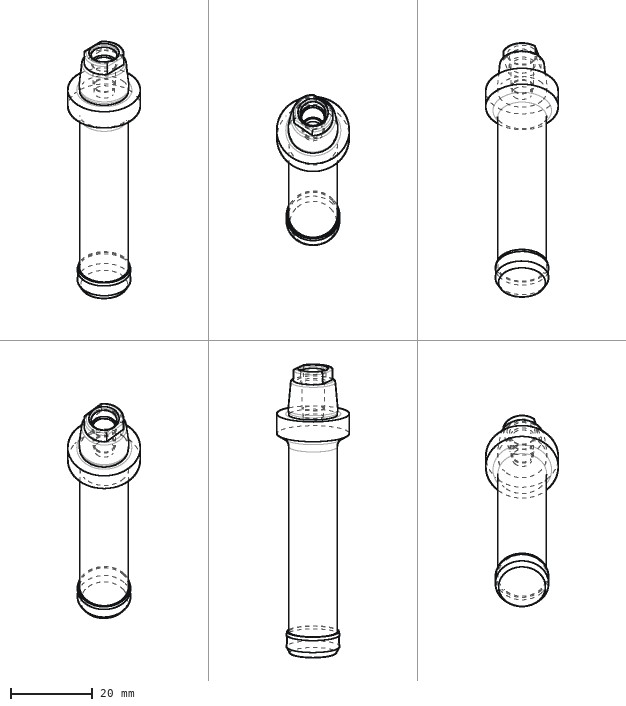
import cadquery as cq
import math

TOTAL_LENGTH = 71.45

FOOT_RADIUS = 5.75
FOOT_CHAMFER_HEIGHT = 1.5
COLLAR_RADIUS = 6.55
COLLAR_WAIST_DEPTH = 0.15
COLLAR_SHOULDER_Z = 4.5
COLLAR_TOP_Z = 5.3
COLLAR_TOP_RADIUS = 6.35

SHAFT_RADIUS = 6.0
FLANGE_RADIUS = 8.9
FLANGE_THICKNESS = 5.0
FLANGE_TOP_Z = 60.05
FLANGE_CONE_ANGLE = 32.0
SHAFT_FILLET_RADIUS = 2.5

RELIEF_RADIUS = 6.0
RELIEF_OUTER_RADIUS = 6.75
RELIEF_DEPTH = 0.2
RELIEF_HEIGHT = 0.4

TAPER_BOTTOM_RADIUS = 6.12
TAPER_TOP_RADIUS = 5.45
TAPER_BOTTOM_Z = FLANGE_TOP_Z + 1.0
TAPER_TOP_FILLET = 0.5

TIP_LENGTH = 3.0
TIP_RADIUS = 4.87
TIP_ACROSS_FLATS = 8.0
TIP_FILLET = 0.45

MOUTH_RADIUS = 3.7
MOUTH_OUTER_SLOPE = 45.0
MOUTH_MIDDLE_RADIUS = 3.4
MOUTH_INNER_SLOPE = 60.0
COUNTERBORE_RADIUS = 3.15
COUNTERBORE_DEPTH = 3.2
STEP_SLOPE = 45.0
BORE_RADIUS = 2.8
BORE_DEPTH = 10.0
DRILL_RADIUS = 2.5
DRILL_DEPTH = 12.0
DRILL_POINT_ANGLE = 118.0

taper_top_z = TOTAL_LENGTH - TIP_LENGTH
flange_bottom_z = FLANGE_TOP_Z - FLANGE_THICKNESS


def make_body():
    """Revolve the shaft, flange and tapered seat."""
    cone_angle = math.radians(FLANGE_CONE_ANGLE)
    fillet_center_r = SHAFT_RADIUS + SHAFT_FILLET_RADIUS
    cone_end_r = fillet_center_r - SHAFT_FILLET_RADIUS * math.sin(cone_angle)
    cone_end_z = flange_bottom_z - (FLANGE_RADIUS - cone_end_r) * math.tan(cone_angle)
    fillet_center_z = cone_end_z - SHAFT_FILLET_RADIUS * math.cos(cone_angle)
    mid_angle = (math.pi / 2 - cone_angle) / 2
    fillet_mid = (
        fillet_center_r - SHAFT_FILLET_RADIUS * math.cos(mid_angle),
        fillet_center_z + SHAFT_FILLET_RADIUS * math.sin(mid_angle),
    )
    waist_z = (FOOT_CHAMFER_HEIGHT + COLLAR_SHOULDER_Z) / 2

    profile = (
        cq.Workplane("XZ")
        .moveTo(0, 0)
        .lineTo(FOOT_RADIUS, 0)
        .lineTo(COLLAR_RADIUS, FOOT_CHAMFER_HEIGHT)
        .threePointArc((COLLAR_RADIUS - COLLAR_WAIST_DEPTH, waist_z), (COLLAR_RADIUS, COLLAR_SHOULDER_Z))
        .lineTo(COLLAR_TOP_RADIUS, COLLAR_TOP_Z)
        .lineTo(SHAFT_RADIUS, COLLAR_TOP_Z)
        .lineTo(SHAFT_RADIUS, fillet_center_z)
        .threePointArc(fillet_mid, (cone_end_r, cone_end_z))
        .lineTo(FLANGE_RADIUS, flange_bottom_z)
        .lineTo(FLANGE_RADIUS, FLANGE_TOP_Z)
        .lineTo(RELIEF_OUTER_RADIUS, FLANGE_TOP_Z)
        .lineTo(RELIEF_RADIUS, FLANGE_TOP_Z - RELIEF_DEPTH)
        .lineTo(RELIEF_RADIUS, FLANGE_TOP_Z + RELIEF_HEIGHT)
        .lineTo(TAPER_BOTTOM_RADIUS, TAPER_BOTTOM_Z)
        .lineTo(TAPER_TOP_RADIUS, taper_top_z)
        .lineTo(0, taper_top_z)
        .close()
    )
    body = profile.revolve(360, (0, 0, 0), (0, 1, 0))
    return body.faces(">Z").edges().fillet(TAPER_TOP_FILLET)


def make_tip():
    """Round tip with two flats facing -X and +X and a rounded top rim."""
    round_tip = cq.Workplane("XY").workplane(offset=taper_top_z).circle(TIP_RADIUS).extrude(TIP_LENGTH)
    flats = (
        cq.Workplane("XY")
        .workplane(offset=taper_top_z)
        .rect(TIP_ACROSS_FLATS, 2 * TIP_RADIUS)
        .extrude(TIP_LENGTH)
    )
    return round_tip.intersect(flats).faces(">Z").edges().fillet(TIP_FILLET)


def cone_height(large_radius, small_radius, slope):
    """Axial length of a cone whose wall rises at `slope` degrees from the horizontal."""
    return (large_radius - small_radius) * math.tan(math.radians(slope))


def make_center_hole():
    """Stepped blind hole with a two-stage conical mouth, bevelled step and drill point."""
    mouth_middle_z = TOTAL_LENGTH - cone_height(MOUTH_RADIUS, MOUTH_MIDDLE_RADIUS, MOUTH_OUTER_SLOPE)
    mouth_end_z = mouth_middle_z - cone_height(MOUTH_MIDDLE_RADIUS, COUNTERBORE_RADIUS, MOUTH_INNER_SLOPE)
    counterbore_z = TOTAL_LENGTH - COUNTERBORE_DEPTH
    step_end_z = counterbore_z - cone_height(COUNTERBORE_RADIUS, BORE_RADIUS, STEP_SLOPE)
    bore_end_z = TOTAL_LENGTH - BORE_DEPTH
    drill_end_z = TOTAL_LENGTH - DRILL_DEPTH
    drill_tip_z = drill_end_z - cone_height(DRILL_RADIUS, 0, 90 - DRILL_POINT_ANGLE / 2)
    profile = (
        cq.Workplane("XZ")
        .moveTo(0, TOTAL_LENGTH)
        .lineTo(MOUTH_RADIUS, TOTAL_LENGTH)
        .lineTo(MOUTH_MIDDLE_RADIUS, mouth_middle_z)
        .lineTo(COUNTERBORE_RADIUS, mouth_end_z)
        .lineTo(COUNTERBORE_RADIUS, counterbore_z)
        .lineTo(BORE_RADIUS, step_end_z)
        .lineTo(BORE_RADIUS, bore_end_z)
        .lineTo(DRILL_RADIUS, bore_end_z)
        .lineTo(DRILL_RADIUS, drill_end_z)
        .lineTo(0, drill_tip_z)
        .close()
    )
    return profile.revolve(360, (0, 0, 0), (0, 1, 0))


result = make_body().union(make_tip()).cut(make_center_hole())